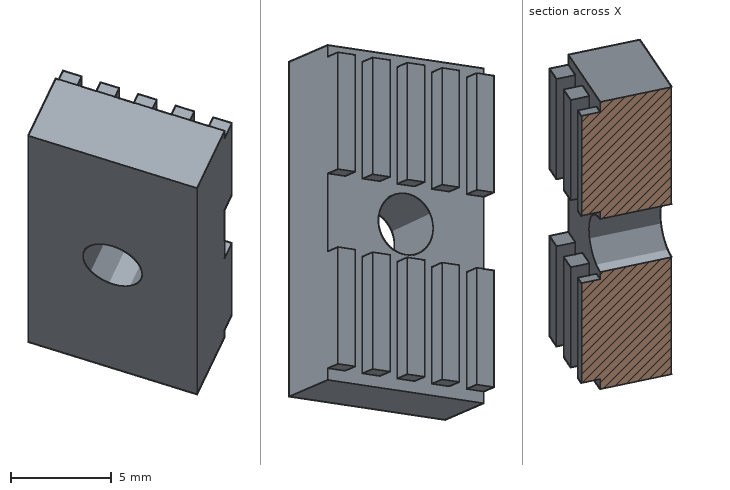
import cadquery as cq

width = 9.0
plate_depth = 3.8
height = 17.2
hole_diameter = 3.15

tooth_count = 5
tooth_width = width / (2 * tooth_count - 1)
tooth_pitch = 2 * tooth_width
tooth_depth = 1.0
tooth_length = 6.0
row_gap = 4.0


def make_plate():
    """Rectangular plate with its front face on Y = 0, centred in X and Z."""
    return cq.Workplane("XY").box(width, plate_depth, height, centered=(True, False, True))


def make_tooth(x, z):
    """One tooth on the back face of the plate, centred at (x, z)."""
    return (
        cq.Workplane("XY")
        .box(tooth_width, tooth_depth, tooth_length, centered=(True, False, True))
        .translate((x, plate_depth, z))
    )


def make_through_hole():
    """Cylinder along Y through the middle of the plate."""
    return cq.Workplane("XZ").circle(hole_diameter / 2).extrude(-plate_depth)


row_offset = (row_gap + tooth_length) / 2
first_tooth_x = (tooth_width - width) / 2

result = make_plate().cut(make_through_hole())
for index in range(tooth_count):
    tooth_x = first_tooth_x + index * tooth_pitch
    for row_z in (-row_offset, row_offset):
        result = result.union(make_tooth(tooth_x, row_z))